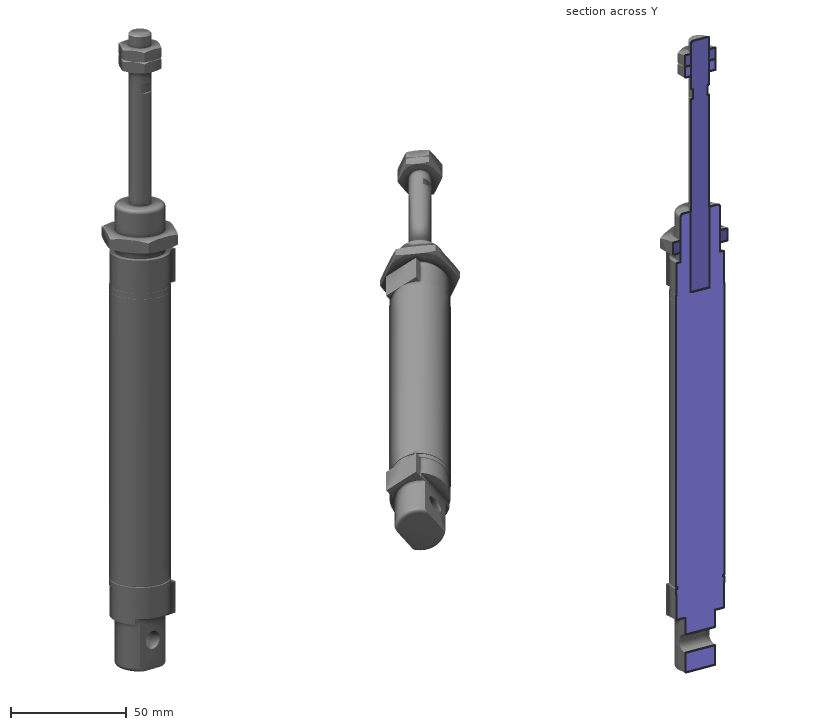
import cadquery as cq
import math

TOTAL_HEIGHT = 289.0
CAP_FOOT_Z = 22.5
FLATS_TOP_Z = 25.0
TUBE_FOOT_Z = 37.0
GROOVE_Z = 39.5
ROLLED_END_FOOT_Z = 171.5
TUBE_TOP_Z = 174.0
CAP_TOP_Z = 189.0
NECK_TOP_Z = 211.0

TUBE_DIAMETER = 27.0
ROLLED_END_DIAMETER = 26.5
CAP_DIAMETER = 26.3
GROOVE_DIAMETER = 25.0
GROOVE_WIDTH = 0.5
NECK_DIAMETER = 22.0
END_ROUNDING = 1.7
TONGUE_THICKNESS = 16.5
PIVOT_HOLE_DIAMETER = 8.0
PIVOT_HOLE_Z = 13.3
PORT_BOSS_WIDTH = 16.2
PORT_BOSS_REACH = TUBE_DIAMETER / 2

ROD_DIAMETER = 10.0
ROD_FOOT_Z = TUBE_TOP_Z
ROD_TIP_DIAMETER = 8.7
WRENCH_FLATS_THICKNESS = 8.0
WRENCH_FLATS_FOOT_Z = 262.5
WRENCH_FLATS_HEIGHT = 4.3

NUT_CHAMFER_ANGLE = 20.0
MOUNTING_NUT_ACROSS_FLATS = 30.0
MOUNTING_NUT_HEIGHT = 5.8
MOUNTING_NUT_FOOT_Z = 193.0
MOUNTING_NUT_FACE_DIAMETER = 31.0
ROD_NUT_COUNT = 2
ROD_NUT_ACROSS_FLATS = 17.0
ROD_NUT_HEIGHT = 5.2
ROD_NUT_FOOT_Z = 272.8
ROD_NUT_FACE_DIAMETER = 16.8


def cylinder(diameter, foot_z, top_z):
    """Upright cylinder on the Z axis between two heights."""
    return cq.Workplane("XY", origin=(0, 0, foot_z)).circle(diameter / 2).extrude(top_z - foot_z)


def beyond_flats(thickness, foot_z, top_z):
    """Two blocks holding everything outside a slab of the given X thickness."""
    height = top_z - foot_z
    middle_z = (foot_z + top_z) / 2
    block = TUBE_DIAMETER
    offset = (thickness + block) / 2
    return (
        cq.Workplane("XY", origin=(0, 0, middle_z))
        .pushPoints([(-offset, 0), (offset, 0)])
        .box(block, 2 * block, height)
    )


def port_boss(foot_z, top_z):
    """Flat-sided boss on the +Y side of an end cap."""
    return (
        cq.Workplane("XY", origin=(0, PORT_BOSS_REACH / 2, foot_z))
        .rect(PORT_BOSS_WIDTH, PORT_BOSS_REACH)
        .extrude(top_z - foot_z)
    )


def make_tube():
    """Tube with a crimp groove near its rear end and a slightly narrower, rolled front end."""
    tube = cylinder(TUBE_DIAMETER, TUBE_FOOT_Z, ROLLED_END_FOOT_Z)
    rolled_end = cylinder(ROLLED_END_DIAMETER, ROLLED_END_FOOT_Z, TUBE_TOP_Z)
    groove_top_z = GROOVE_Z + GROOVE_WIDTH
    groove = cylinder(TUBE_DIAMETER, GROOVE_Z, groove_top_z).cut(
        cylinder(GROOVE_DIAMETER, GROOVE_Z, groove_top_z)
    )
    return tube.cut(groove).union(rolled_end)


def make_housing():
    """Tube with both end caps, the threaded neck and the rear tongue."""
    neck = cylinder(NECK_DIAMETER, CAP_TOP_Z, NECK_TOP_Z).faces(">Z").edges().fillet(END_ROUNDING)
    tongue = cylinder(NECK_DIAMETER, 0, CAP_FOOT_Z).faces("<Z").edges().fillet(END_ROUNDING)

    housing = (
        make_tube()
        .union(cylinder(CAP_DIAMETER, CAP_FOOT_Z, TUBE_FOOT_Z))
        .union(cylinder(CAP_DIAMETER, TUBE_TOP_Z, CAP_TOP_Z))
        .union(port_boss(CAP_FOOT_Z, TUBE_FOOT_Z))
        .union(port_boss(TUBE_TOP_Z, CAP_TOP_Z))
        .union(neck)
        .union(tongue)
    )

    housing = housing.cut(beyond_flats(TONGUE_THICKNESS, 0, FLATS_TOP_Z))

    pivot_hole = (
        cq.Workplane("YZ")
        .center(0, PIVOT_HOLE_Z)
        .circle(PIVOT_HOLE_DIAMETER / 2)
        .extrude(TONGUE_THICKNESS, both=True)
    )
    rod_bore = cylinder(ROD_DIAMETER, ROD_FOOT_Z, NECK_TOP_Z)
    return housing.cut(pivot_hole).cut(rod_bore)


def make_piston_rod():
    """Rod with a chamfered tip and two wrench flats below the nuts."""
    rod = cylinder(ROD_DIAMETER, ROD_FOOT_Z, TOTAL_HEIGHT)
    rod = rod.faces(">Z").chamfer((ROD_DIAMETER - ROD_TIP_DIAMETER) / 2)
    flats_top_z = WRENCH_FLATS_FOOT_Z + WRENCH_FLATS_HEIGHT
    return rod.cut(beyond_flats(WRENCH_FLATS_THICKNESS, WRENCH_FLATS_FOOT_Z, flats_top_z))


def make_nut(across_flats, face_diameter, height, bore_diameter, foot_z):
    """Hexagon nut with corners toward +Y and -Y, coned off at both faces."""
    across_corners = across_flats / math.cos(math.radians(30))
    hexagon = (
        cq.Workplane("XY")
        .transformed(rotate=(0, 0, 90))
        .polygon(6, across_corners)
        .extrude(height)
    )

    face_radius = face_diameter / 2
    corner_radius = across_corners / 2
    drop = (corner_radius - face_radius) * math.tan(math.radians(NUT_CHAMFER_ANGLE))
    cone_envelope = (
        cq.Workplane("XZ")
        .moveTo(0, 0)
        .lineTo(face_radius, 0)
        .lineTo(corner_radius, drop)
        .lineTo(corner_radius, height - drop)
        .lineTo(face_radius, height)
        .lineTo(0, height)
        .close()
        .revolve(360, (0, 0, 0), (0, 1, 0))
    )

    bore = cylinder(bore_diameter, 0, height)
    return hexagon.intersect(cone_envelope).cut(bore).translate((0, 0, foot_z))


housing = make_housing()

piston_rod = make_piston_rod()

mounting_nut = make_nut(
    MOUNTING_NUT_ACROSS_FLATS,
    MOUNTING_NUT_FACE_DIAMETER,
    MOUNTING_NUT_HEIGHT,
    NECK_DIAMETER,
    MOUNTING_NUT_FOOT_Z,
)

rod_nuts = [
    make_nut(
        ROD_NUT_ACROSS_FLATS,
        ROD_NUT_FACE_DIAMETER,
        ROD_NUT_HEIGHT,
        ROD_DIAMETER,
        ROD_NUT_FOOT_Z + index * ROD_NUT_HEIGHT,
    )
    for index in range(ROD_NUT_COUNT)
]

result = cq.Compound.makeCompound(
    [
        housing.val(),
        piston_rod.val(),
        mounting_nut.val(),
        *[nut.val() for nut in rod_nuts],
    ]
)